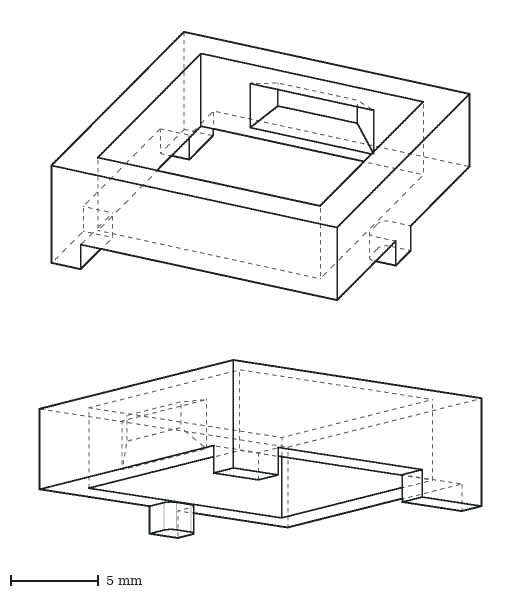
import cadquery as cq

frame_size = 18.0
wall = 2.0
opening_size = frame_size - 2 * wall
total_height = 6.3
foot_height = 1.6
frame_height = total_height - foot_height
half_size = frame_size / 2
half_opening = opening_size / 2

foot_thickness = 1.85
front_foot_length = 4.3
back_foot_length = 3.25

post_depth = 1.85
post_width = 2.05
post_corner_radius = 0.5

pocket_width = 7.8
pocket_bottom = 2.2
pocket_top = 5.05
pocket_depth = 0.75
pocket_side_inset = 1.4
pocket_floor_rise = 1.35


def box_between(x_range, y_range, z_range):
    """Box spanning the given (low, high) range on each axis."""
    lengths = [high - low for low, high in (x_range, y_range, z_range)]
    corner = (x_range[0], y_range[0], z_range[0])
    return cq.Workplane("XY").box(*lengths, centered=False).translate(corner)


def make_frame():
    """Square ring raised above the feet."""
    return (
        cq.Workplane("XY", origin=(0, 0, foot_height))
        .rect(frame_size, frame_size)
        .rect(opening_size, opening_size)
        .extrude(frame_height)
    )


def make_foot(y_start, length):
    """Block foot under the -X wall."""
    x_range = (-half_size, -half_size + foot_thickness)
    return box_between(x_range, (y_start, y_start + length), (0, foot_height))


def make_post():
    """Post under the +X wall, rounded on its two inner vertical edges."""
    x_range = (half_size - post_depth, half_size)
    y_range = (-post_width / 2, post_width / 2)
    post = box_between(x_range, y_range, (0, foot_height))
    return post.faces("<X").edges("|Z").fillet(post_corner_radius)


def make_pocket():
    """Cutter whose sides and floor taper inward from the inner face of the +Y wall."""
    half_width = pocket_width / 2
    back_half_width = half_width - pocket_side_inset
    back_bottom = pocket_bottom + pocket_floor_rise
    return (
        cq.Workplane("XZ", origin=(0, half_opening, 0))
        .moveTo(-half_width, pocket_bottom)
        .lineTo(half_width, pocket_bottom)
        .lineTo(half_width, pocket_top)
        .lineTo(-half_width, pocket_top)
        .close()
        .workplane(offset=-pocket_depth)
        .moveTo(-back_half_width, back_bottom)
        .lineTo(back_half_width, back_bottom)
        .lineTo(back_half_width, pocket_top)
        .lineTo(-back_half_width, pocket_top)
        .close()
        .loft(ruled=True)
    )


result = (
    make_frame()
    .union(make_foot(-half_size, front_foot_length))
    .union(make_foot(half_size - back_foot_length, back_foot_length))
    .union(make_post())
    .cut(make_pocket())
)